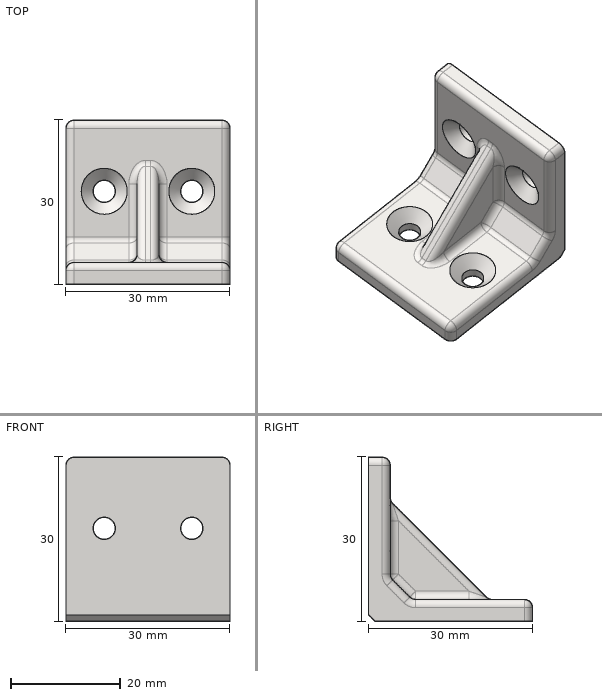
import cadquery as cq

size = 30.0
plate = 4.0
round_radius = 1.5
heel_chamfer = 1.2
inner_bevel = 4.0
rib_width = 4.0
rib_leg = 18.0
rib_embed = 1.0
hole_diameter = 4.0
hole_half_spacing = 8.0
hole_offset = 17.0
sink_diameter = 8.4
sink_angle = 90.0

half_size = size / 2
bevel_end = plate + inner_bevel
rib_end = plate + rib_leg
select_margin = 0.01

along_crest = cq.selectors.ParallelDirSelector(cq.Vector(0, 1, -1))


def extrude_across(points, width):
    """Extrude a (Y, Z) outline symmetrically about the X = 0 plane."""
    return cq.Workplane("YZ").polyline(points).close().extrude(width / 2, both=True)


def inner_corner_box(half_width, reach):
    """Select edges centred between the inner plate faces and the given reach in Y and Z."""
    low = plate - select_margin
    high = reach + select_margin
    side = half_width + select_margin
    return cq.selectors.BoxSelector((-side, low, low), (side, high, high))


def rounded_angle():
    """Two plates at right angles, with a bevelled inner corner and rounded rims."""
    outline = [
        (heel_chamfer, 0),
        (size, 0),
        (size, plate),
        (bevel_end, plate),
        (plate, bevel_end),
        (plate, size),
        (0, size),
        (0, heel_chamfer),
    ]
    body = extrude_across(outline, size)
    body = body.edges("|X").edges(inner_corner_box(half_size, bevel_end)).fillet(round_radius)
    body = body.faces(">Y").edges("|Z").fillet(round_radius)
    body = body.faces(">Z").edges("|Y").fillet(round_radius)
    rim = cq.selectors.NearestToPointSelector((0, size, plate))
    return body.edges(rim).fillet(round_radius)


def rib():
    """Triangular rib with a rounded crest."""
    root = plate - rib_embed
    tip = rib_end + rib_embed
    web = extrude_across([(root, root), (tip, root), (root, tip)], rib_width)
    return web.edges(along_crest).fillet(round_radius)


def blend_rib(body):
    """Fillet the junction between the rib and the plates."""
    near_rib = inner_corner_box(rib_width / 2, rib_end)
    return body.edges(near_rib - along_crest).fillet(round_radius)


def countersink_holes(body, inner_face):
    """Cut a countersunk hole on each side of the rib, entering from the given inner face."""
    return (
        body.copyWorkplane(cq.Workplane(inner_face))
        .pushPoints([(-hole_half_spacing, 0), (hole_half_spacing, 0)])
        .cskHole(hole_diameter, sink_diameter, sink_angle, depth=plate)
    )


floor_face = cq.Plane(origin=(0, hole_offset, plate), xDir=(1, 0, 0), normal=(0, 0, 1))
wall_face = cq.Plane(origin=(0, plate, hole_offset), xDir=(1, 0, 0), normal=(0, 1, 0))

bracket = blend_rib(rounded_angle().union(rib()))
for face in (floor_face, wall_face):
    bracket = countersink_holes(bracket, face)

result = bracket